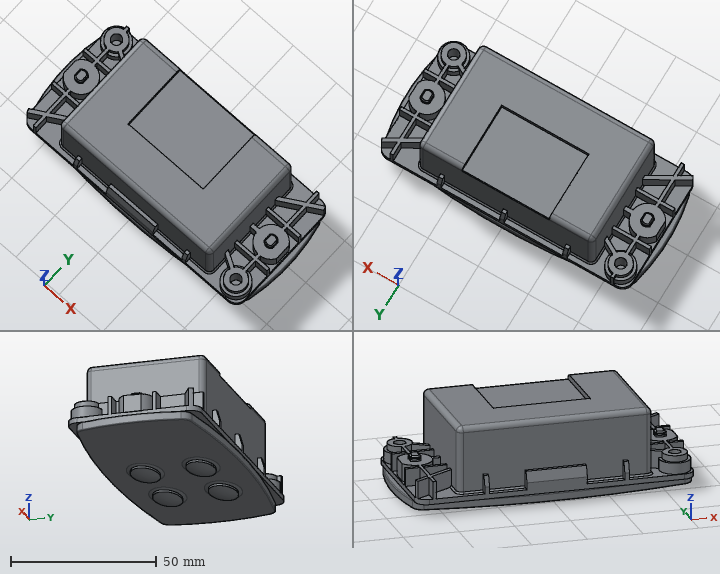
import cadquery as cq
import math


FLANGE_LENGTH = 99.6
FLANGE_WIDTH = 47.8
FLANGE_THICKNESS = 1.9
FLANGE_CORNER_RADIUS = 4.2

BOX_LENGTH = 69.7
BOX_WIDTH = 42.8
BOX_TOP = 26.0
BOX_FILLET = 2.0
BOX_FOOT_CHAMFER = 0.6
FOOT_TAPER = 45

RECESS_LENGTH = 34.7
RECESS_FRONT = -5.4
RECESS_DEPTH = 2.0
RECESS_EDGE_CHAMFER = 0.3

RIB_TOP = 8.2
RIB_THICKNESS = 1.2
CENTRE_RIB_THICKNESS = 1.7
DIAGONAL_RIB_THICKNESS = 1.6
DIAGONAL_RIB_ANGLE = 30.0
CROSS_RIB_Y = 8.0

BOSS_X = 43.9
PEG_BOSS_RADIUS = 6.2
PEG_BOSS_FLAT_X = 49.3
SCREW_BOSS_Y = 18.0
SCREW_BOSS_RADIUS = 5.5
SCREW_BOSS_STEP_TOP = 5.9
SCREW_BOSS_COLLAR_RADIUS = 4.4
SCREW_HOLE_RADIUS = 2.1

SMALL_TAB_LENGTH = 1.7
LONG_TAB_LENGTH = 21.6
SIDE_TAB_X = 25.1
TAB_CREST_WIDTH = 1.1
TAB_SLOPE_BOTTOM = 4.4

BEZEL_LENGTH = 104.0
BEZEL_WIDTH = 49.1
BEZEL_THICKNESS = 3.0
BEZEL_END_RADIUS = 78.0
BEZEL_SIDE_RADIUS = 286.0
BEZEL_CORNER_RADIUS = 4.0
BEZEL_EDGE_FILLET = 0.3

SKIRT_LENGTH = 18.3
SKIRT_WIDTH = 12.5
SKIRT_HEIGHT = 0.4
BUTTON_LENGTH = 15.4
BUTTON_WIDTH = 9.8
BUTTON_WALL_HEIGHT = 1.1
BUTTON_HEIGHT = 2.0
BUTTON_CENTRE_X = -9.2
BUTTON_PITCH_X = 25.1
BUTTON_PITCH_Y = 20.1

PEG_RADIUS = 2.4
PEG_WIDTH = 3.7
PEG_TOP = 10.2
PEG_CHAMFER = 0.5
PEG_GROOVE_Z = 9.2
PEG_GROOVE_DEPTH = 0.3


def block(x_min, x_max, y_min, y_max, z_min, z_max):
    """Axis-aligned box between the given limits."""
    size = (x_max - x_min, y_max - y_min, z_max - z_min)
    return cq.Workplane("XY", origin=(x_min, y_min, z_min)).box(*size, centered=False)


def cylinder(x, y, radius, z_min, z_max):
    """Upright cylinder centred on (x, y)."""
    return cq.Workplane("XY", origin=(x, y, z_min)).circle(radius).extrude(z_max - z_min)


def make_flange(top):
    """Rounded flange outline from the seam up to the given height."""
    return (
        cq.Workplane("XY")
        .rect(FLANGE_LENGTH, FLANGE_WIDTH)
        .extrude(top)
        .edges("|Z")
        .fillet(FLANGE_CORNER_RADIUS)
    )


def make_box():
    """Closed box with rounded edges, a flared foot and a recess in its top."""
    box = (
        cq.Workplane("XY")
        .rect(BOX_LENGTH, BOX_WIDTH)
        .extrude(BOX_TOP)
        .edges("|Z or >Z")
        .fillet(BOX_FILLET)
    )
    foot_outline = (
        cq.Sketch()
        .rect(BOX_LENGTH + 2 * BOX_FOOT_CHAMFER, BOX_WIDTH + 2 * BOX_FOOT_CHAMFER)
        .vertices()
        .fillet(BOX_FILLET + BOX_FOOT_CHAMFER)
    )
    foot = (
        cq.Workplane("XY", origin=(0, 0, FLANGE_THICKNESS))
        .placeSketch(foot_outline)
        .extrude(BOX_FOOT_CHAMFER, taper=FOOT_TAPER)
    )
    return box.union(foot).cut(make_recess())


def make_recess():
    """Volume of the recess, with a chamfer where its floor meets the rear face of the box."""
    floor = BOX_TOP - RECESS_DEPTH
    rear = BOX_WIDTH / 2
    profile = [
        (RECESS_FRONT, floor),
        (rear - RECESS_EDGE_CHAMFER, floor),
        (rear, floor - RECESS_EDGE_CHAMFER),
        (rear, BOX_TOP),
        (RECESS_FRONT, BOX_TOP),
    ]
    return cq.Workplane("YZ").polyline(profile).close().extrude(RECESS_LENGTH / 2, both=True)


def make_end_ribs(side):
    """Ribs on the flange at one end of the box; side is -1 or +1 along X."""
    inner = side * (BOX_LENGTH / 2 - BOX_FILLET)
    outer = side * FLANGE_LENGTH / 2
    x_min, x_max = sorted((inner, outer))
    half = RIB_THICKNESS / 2
    boss_x = side * BOSS_X

    front_end = -SCREW_BOSS_Y if has_screw_boss(side, -1) else -FLANGE_WIDTH / 2
    ribs = block(boss_x - half, boss_x + half, front_end, FLANGE_WIDTH / 2, 0, RIB_TOP)
    for y in (-CROSS_RIB_Y, CROSS_RIB_Y):
        ribs = ribs.union(block(x_min, x_max, y - half, y + half, 0, RIB_TOP))

    half_centre = CENTRE_RIB_THICKNESS / 2
    x_min, x_max = sorted((inner, boss_x))
    ribs = ribs.union(block(x_min, x_max, -half_centre, half_centre, 0, RIB_TOP))

    for end in (-1, 1):
        ribs = ribs.union(make_diagonal_rib(side, end))
    return ribs


def has_screw_boss(side, end):
    """Screw bosses stand at two diagonally opposite corners."""
    return side * end < 0


def make_diagonal_rib(side, end):
    """Rib from the box through a boss position, running to the corner if no boss is there."""
    slope = math.tan(math.radians(DIAGONAL_RIB_ANGLE))
    inner_x = BOX_LENGTH / 2 - BOX_FILLET
    outer_x = BOSS_X if has_screw_boss(side, end) else FLANGE_LENGTH / 2 + RIB_THICKNESS
    middle_x = (inner_x + outer_x) / 2
    middle_y = SCREW_BOSS_Y + (middle_x - BOSS_X) * slope
    length = (outer_x - inner_x) / math.cos(math.radians(DIAGONAL_RIB_ANGLE))
    return (
        cq.Workplane("XY")
        .rect(length, DIAGONAL_RIB_THICKNESS)
        .extrude(RIB_TOP)
        .rotate((0, 0, 0), (0, 0, 1), side * end * DIAGONAL_RIB_ANGLE)
        .translate((side * middle_x, end * middle_y, 0))
    )


def make_peg_boss(side):
    """Round boss with a flat towards the end of the flange."""
    boss = cylinder(side * BOSS_X, 0, PEG_BOSS_RADIUS, 0, RIB_TOP)
    keep = block(
        -PEG_BOSS_FLAT_X, PEG_BOSS_FLAT_X,
        -PEG_BOSS_RADIUS, PEG_BOSS_RADIUS,
        0, RIB_TOP,
    )
    return boss.intersect(keep)


def make_screw_boss(x, y):
    """Stepped round boss, without its hole."""
    base = cylinder(x, y, SCREW_BOSS_RADIUS, 0, SCREW_BOSS_STEP_TOP)
    return base.union(cylinder(x, y, SCREW_BOSS_COLLAR_RADIUS, 0, RIB_TOP))


def make_tab(x, length, end):
    """Tab against a long side of the box with a sloped outer face; end is -1 or +1 along Y."""
    inner = BOX_WIDTH / 2 - BOX_FILLET
    crest = FLANGE_WIDTH / 2 - TAB_CREST_WIDTH
    outer = FLANGE_WIDTH / 2
    profile = [
        (end * inner, 0),
        (end * outer, 0),
        (end * outer, TAB_SLOPE_BOTTOM),
        (end * crest, RIB_TOP),
        (end * inner, RIB_TOP),
    ]
    return cq.Workplane("YZ", origin=(x - length / 2, 0, 0)).polyline(profile).close().extrude(length)


def make_peg_hole(side):
    """Volume taken out of the housing where a peg passes through."""
    x = side * BOSS_X
    flats = block(x - PEG_WIDTH / 2, x + PEG_WIDTH / 2, -PEG_RADIUS, PEG_RADIUS, 0, RIB_TOP)
    return cylinder(x, 0, PEG_RADIUS, 0, RIB_TOP).intersect(flats)


def peg_profile(reach):
    """Points up the side of a peg at the given reach from its axis: groove, then chamfered tip."""
    return [
        (reach, 0),
        (reach, PEG_GROOVE_Z - PEG_GROOVE_DEPTH),
        (reach - PEG_GROOVE_DEPTH, PEG_GROOVE_Z),
        (reach, PEG_GROOVE_Z + PEG_GROOVE_DEPTH),
        (reach, PEG_TOP - PEG_CHAMFER),
        (reach - PEG_CHAMFER, PEG_TOP),
    ]


def make_peg(side):
    """Round peg with two flats, grooved above the boss, standing on the seam."""
    rod_profile = [(0, 0), *peg_profile(PEG_RADIUS), (0, PEG_TOP)]
    rod = cq.Workplane("XZ").polyline(rod_profile).close().revolve(360, (0, 0, 0), (0, 1, 0))

    right_side = peg_profile(PEG_WIDTH / 2)
    left_side = [(-x, z) for x, z in reversed(right_side)]
    slab = cq.Workplane("XZ").polyline(right_side + left_side).close().extrude(PEG_RADIUS, both=True)
    return rod.intersect(slab).translate((side * BOSS_X, 0, 0))


def make_housing():
    """Box on a ribbed flange with bosses and tabs."""
    housing = make_flange(FLANGE_THICKNESS).union(make_box())
    rib_limit = make_flange(RIB_TOP)

    for side in (-1, 1):
        housing = housing.union(make_end_ribs(side).intersect(rib_limit))
        housing = housing.union(make_peg_boss(side))
        housing = housing.union(make_screw_boss(side * BOSS_X, -side * SCREW_BOSS_Y))

    for x in (-SIDE_TAB_X, SIDE_TAB_X):
        for end in (-1, 1):
            housing = housing.union(make_tab(x, SMALL_TAB_LENGTH, end))
    housing = housing.union(make_tab(0, SMALL_TAB_LENGTH, 1))
    housing = housing.union(make_tab(0, LONG_TAB_LENGTH, -1))

    for side in (-1, 1):
        housing = housing.cut(cylinder(side * BOSS_X, -side * SCREW_BOSS_Y, SCREW_HOLE_RADIUS, 0, RIB_TOP))
        housing = housing.cut(make_peg_hole(side))
    return housing


def make_bezel_plate():
    """Plate whose four sides are shallow arcs."""
    end_offset = BEZEL_END_RADIUS - BEZEL_LENGTH / 2
    side_offset = BEZEL_SIDE_RADIUS - BEZEL_WIDTH / 2
    plate = cylinder(end_offset, 0, BEZEL_END_RADIUS, -BEZEL_THICKNESS, 0)
    arcs = [
        (-end_offset, 0, BEZEL_END_RADIUS),
        (0, side_offset, BEZEL_SIDE_RADIUS),
        (0, -side_offset, BEZEL_SIDE_RADIUS),
    ]
    for x, y, radius in arcs:
        plate = plate.intersect(cylinder(x, y, radius, -BEZEL_THICKNESS, 0))
    plate = plate.edges("|Z").fillet(BEZEL_CORNER_RADIUS)
    return plate.faces("<Z or >Z").edges().fillet(BEZEL_EDGE_FILLET)


def make_button_cap():
    """Elliptical dome hanging below the origin."""
    half_length = BUTTON_LENGTH / 2
    rise = BUTTON_HEIGHT - BUTTON_WALL_HEIGHT
    sphere_radius = (half_length**2 + rise**2) / (2 * rise)
    dome = (
        cq.Workplane("XZ")
        .lineTo(half_length, 0)
        .radiusArc((0, -rise), sphere_radius)
        .close()
        .revolve(360, (0, 0, 0), (0, 1, 0))
    )
    squeeze = cq.Matrix([
        [1, 0, 0, 0],
        [0, BUTTON_WIDTH / BUTTON_LENGTH, 0, 0],
        [0, 0, 1, 0],
        [0, 0, 0, 1],
    ])
    return cq.Workplane(obj=dome.val().transformGeometry(squeeze))


def make_button(x, y):
    """Button under the bezel, centred on (x, y)."""
    skirt = (
        cq.Workplane("XY")
        .ellipse(SKIRT_LENGTH / 2, SKIRT_WIDTH / 2)
        .workplane(offset=-SKIRT_HEIGHT)
        .ellipse(BUTTON_LENGTH / 2, BUTTON_WIDTH / 2)
        .loft()
    )
    wall = cq.Workplane("XY").ellipse(BUTTON_LENGTH / 2, BUTTON_WIDTH / 2).extrude(-BUTTON_WALL_HEIGHT)
    cap = make_button_cap().translate((0, 0, -BUTTON_WALL_HEIGHT))
    return skirt.union(wall).union(cap).translate((x, y, -BEZEL_THICKNESS))


def make_bezel():
    """Bezel plate with its buttons and the pegs that hold the housing."""
    bezel = make_bezel_plate()
    for column in (-1, 1):
        for row in (-1, 1):
            x = BUTTON_CENTRE_X + column * BUTTON_PITCH_X / 2
            bezel = bezel.union(make_button(x, row * BUTTON_PITCH_Y / 2))
    for side in (-1, 1):
        bezel = bezel.union(make_peg(side))
    return bezel


housing = make_housing()
bezel = make_bezel()

result = cq.Compound.makeCompound([housing.solids().val(), bezel.solids().val()])